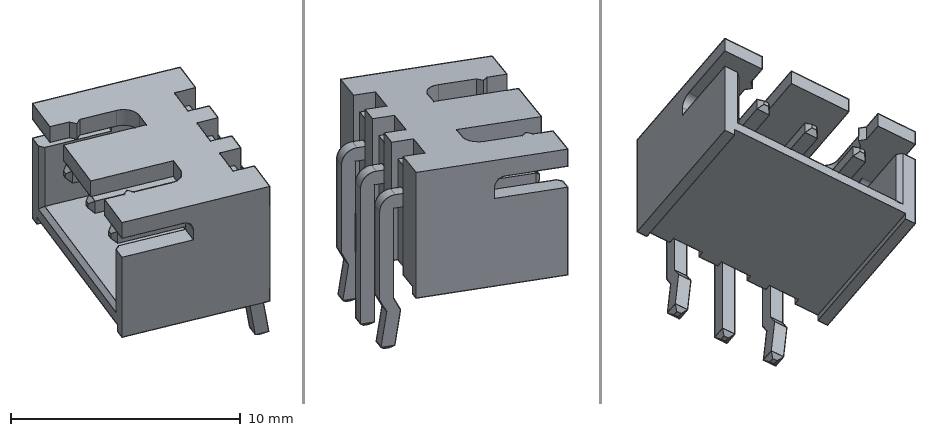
import cadquery as cq


WIDTH = 9.9
DEPTH = 7.01
HEIGHT = 6.09
FOOT_WIDTH = 0.5
FOOT_HEIGHT = 0.36

ROOF = 0.83
SIDE_WALL = 0.87
CAVITY_FLOOR = 1.12
CAVITY_DEPTH = 5.15
LEAD_IN = 0.22
CAVITY_WIDTH = WIDTH - 2 * SIDE_WALL
CAVITY_TOP = HEIGHT - ROOF

WINDOW_HEIGHT = 1.01
WINDOW_DEPTH = 3.39
WINDOW_RADIUS = 0.5
WINDOW_FLOOR = CAVITY_TOP - WINDOW_HEIGHT

SLOT_INNER = 1.49
SLOT_OUTER = 3.01
SLOT_DEPTH = 3.92
SLOT_RADIUS = 0.75
BUMP_SETBACK = 1.17
BUMP_SIZE = 0.25

PITCH = 2.49
PIN = 0.64
PIN_Z = 3.75
PIN_FRONT = 0.48
PIN_REACH = 0.93
PIN_BOTTOM = -3.4
BEND_RADIUS = 0.72
TIP_INSET = 0.21
FRONT_TIP_LENGTH = 0.24
SOLDER_TIP_LENGTH = 0.19
PIN_XS = [-PITCH, 0, PITCH]

KINK_TOP = -0.91
KINK_PEAK = -1.52
KINK_OFFSET = 0.33
KINK_END_OFFSET = 0.06

NOTCH_WIDTH = 1.5
NOTCH_DEPTH = 1.01
NOTCH_BACK_STEP = 0.29
LEDGE_DEPTH = ROOF
LEDGE_DROP = 0.03


def box(x_min, x_max, y_min, y_max, z_min, z_max):
    """Axis-aligned box between the given limits."""
    size = (x_max - x_min, y_max - y_min, z_max - z_min)
    return cq.Workplane("XY").box(*size, centered=False).translate((x_min, y_min, z_min))


def side_profile(points, width, x_centre):
    """Extrude a closed (Y, Z) polygon along X, centred on x_centre."""
    profile = cq.Workplane("YZ").polyline(points).close()
    return profile.extrude(width / 2, both=True).translate((x_centre, 0, 0))


def cavity():
    """Rectangular cavity with a lead-in on its floor and sides below the windows."""
    half = CAVITY_WIDTH / 2
    pocket = box(-half, half, 0, CAVITY_DEPTH, CAVITY_FLOOR, CAVITY_TOP)
    flare_height = WINDOW_FLOOR - CAVITY_FLOOR
    mouth_height = flare_height + 2 * LEAD_IN
    flare_centre = CAVITY_FLOOR + flare_height / 2
    flare = (
        cq.Workplane("XZ", origin=(0, 0, flare_centre))
        .rect(CAVITY_WIDTH + 2 * LEAD_IN, mouth_height)
        .workplane(offset=-LEAD_IN)
        .rect(CAVITY_WIDTH, flare_height)
        .loft()
    )
    return pocket.union(flare)


def side_window():
    """Cut that opens both side walls from the mating face, rounded at its inner top edge."""
    window = box(-WIDTH / 2, WIDTH / 2, 0, WINDOW_DEPTH, WINDOW_FLOOR, CAVITY_TOP)
    return window.edges(">Y and >Z").fillet(WINDOW_RADIUS)


def roof_slot():
    """Keying slot on the +X side with a small latch bump on its outer wall."""
    slot = box(SLOT_INNER, SLOT_OUTER, 0, SLOT_DEPTH, CAVITY_TOP, HEIGHT)
    slot = slot.edges("|Z and >X and >Y").fillet(SLOT_RADIUS)
    bump = (
        cq.Workplane("XY", origin=(0, 0, CAVITY_TOP))
        .moveTo(SLOT_OUTER, BUMP_SETBACK - BUMP_SIZE)
        .lineTo(SLOT_OUTER - BUMP_SIZE, BUMP_SETBACK)
        .lineTo(SLOT_OUTER, BUMP_SETBACK + BUMP_SIZE)
        .close()
        .extrude(ROOF)
    )
    return slot.cut(bump)


def rear_notch(x_centre):
    """Stepped notch: a ledge sloping to the rear, then a shallow step down to the underside."""
    ledge_z = HEIGHT - LEDGE_DEPTH
    step_y = DEPTH - NOTCH_BACK_STEP
    points = [
        (DEPTH - NOTCH_DEPTH, HEIGHT),
        (DEPTH - NOTCH_DEPTH, ledge_z),
        (step_y, ledge_z - LEDGE_DROP),
        (step_y, 0),
        (DEPTH, 0),
        (DEPTH, HEIGHT),
    ]
    return side_profile(points, NOTCH_WIDTH, x_centre)


def tapered_tip(plane, centre, length):
    """Square pyramid frustum that ends a pin, growing along the plane normal."""
    tip_width = PIN - 2 * TIP_INSET
    return (
        cq.Workplane(plane, origin=centre)
        .rect(PIN, PIN)
        .workplane(offset=length)
        .rect(tip_width, tip_width)
        .loft()
    )


def pin(x_centre, kinked):
    """L-shaped square pin; kinked legs jog toward the housing before the solder tip."""
    back = DEPTH + PIN_REACH
    front = PIN_FRONT + FRONT_TIP_LENGTH
    leg_end = PIN_BOTTOM + SOLDER_TIP_LENGTH
    top = PIN_Z + PIN / 2
    end_offset = KINK_END_OFFSET if kinked else 0

    arm = box(x_centre - PIN / 2, x_centre + PIN / 2, front, back, top - PIN, top)
    outer = [(back, top - PIN)]
    if kinked:
        outer += [(back, KINK_TOP), (back - KINK_OFFSET, KINK_PEAK)]
    outer.append((back - end_offset, leg_end))
    inner = [(y - PIN, z) for y, z in reversed(outer)]
    leg = side_profile(outer + inner, PIN, x_centre)
    body = arm.union(leg).edges(">Y and >Z").fillet(BEND_RADIUS)

    front_tip = tapered_tip("XZ", (x_centre, front, PIN_Z), FRONT_TIP_LENGTH)
    solder_tip = (
        tapered_tip("XY", (0, 0, 0), SOLDER_TIP_LENGTH)
        .rotate((0, 0, 0), (1, 0, 0), 180)
        .translate((x_centre, back - end_offset - PIN / 2, leg_end))
    )
    return body.union(front_tip).union(solder_tip)


housing = box(-WIDTH / 2, WIDTH / 2, 0, DEPTH, 0, HEIGHT)
foot_inner = WIDTH / 2 - FOOT_WIDTH
housing = housing.cut(box(-foot_inner, foot_inner, 0, DEPTH, 0, FOOT_HEIGHT))

housing = housing.cut(cavity()).cut(side_window())
slot = roof_slot()
housing = housing.cut(slot).cut(slot.mirror("YZ"))

for x in PIN_XS:
    housing = housing.cut(rear_notch(x))

result = housing
for x in PIN_XS:
    result = result.union(pin(x, kinked=x != 0))